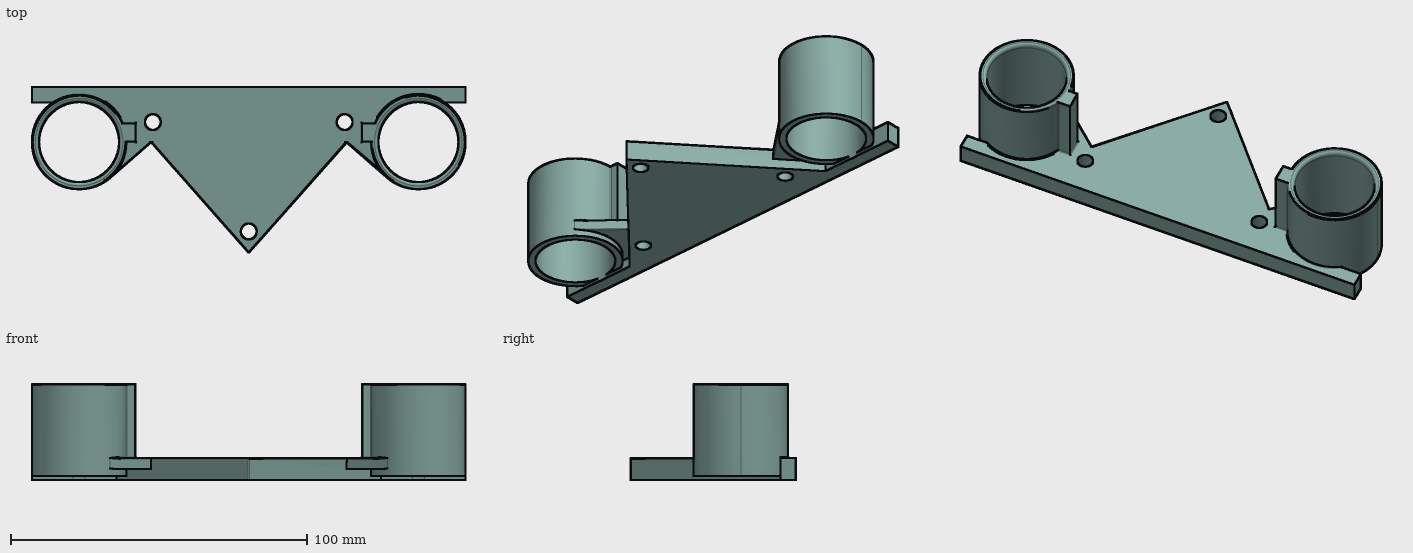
import cadquery as cq
import math

LENGTH = 146.5
DEPTH = 55.8
HEIGHT = 32.4

PLATE_THICKNESS = 7.5
BAR_WIDTH = 5.3

RING_RADIUS = 16.0
RING_BORE_RADIUS = 13.5
RING_BOTTOM = 1.3
RING_CENTER_Y = -18.6
MOUTH_ROUND = 1.3

TIP_HALF_ANGLE = 41.4
NOTCH_Y = -18.6
WEB_THICKNESS = 3.8

RIB_INNER_X = 38.2
RIB_BACK_Y = -12.3
RIB_FRONT_Y = -18.5

HOLE_DIAMETER = 5.3
BACK_HOLE_X = 32.4
BACK_HOLE_Y = -11.9
TIP_HOLE_Y = -48.8

EDGE_ROUND = 0.3

SELECTION_MARGIN = 0.07

RING_CENTER_X = LENGTH / 2 - RING_RADIUS
WEB_BOTTOM = PLATE_THICKNESS - WEB_THICKNESS
TIP_SLOPE = math.tan(math.radians(TIP_HALF_ANGLE))
APEX_Y = -DEPTH - EDGE_ROUND * (1 / math.sin(math.radians(TIP_HALF_ANGLE)) - 1)
PLATE_BACK_X = -APEX_Y * TIP_SLOPE
NOTCH_X = (NOTCH_Y - APEX_Y) * TIP_SLOPE


def both_sides(right_half):
    """Return a body together with its mirror image across X = 0."""
    return right_half.union(right_half.mirror("YZ"))


def cylinder(radius, bottom):
    """Upright cylinder on the right ring axis, from bottom to the full height."""
    return (
        cq.Workplane("XY", origin=(RING_CENTER_X, RING_CENTER_Y, bottom))
        .circle(radius)
        .extrude(HEIGHT - bottom)
    )


def back_bar():
    return (
        cq.Workplane("XY", origin=(0, -BAR_WIDTH / 2, 0))
        .rect(LENGTH, BAR_WIDTH)
        .extrude(PLATE_THICKNESS)
    )


def triangular_plate():
    corners = [(-PLATE_BACK_X, 0), (PLATE_BACK_X, 0), (0, APEX_Y)]
    plate = cq.Workplane("XY").polyline(corners).close().extrude(PLATE_THICKNESS)
    return plate.edges("|Z and <Y").fillet(EDGE_ROUND).faces(">Z").edges("not >Y").fillet(EDGE_ROUND)


def web():
    """Thin sheet joining plate, bar and ring; its front edge is tangent to the ring."""
    to_notch_x = NOTCH_X - RING_CENTER_X
    to_notch_y = NOTCH_Y - RING_CENTER_Y
    notch_distance = math.hypot(to_notch_x, to_notch_y)
    tangent_angle = math.atan2(to_notch_y, to_notch_x) + math.acos(RING_RADIUS / notch_distance)
    tangent_point = (
        RING_CENTER_X + RING_RADIUS * math.cos(tangent_angle),
        RING_CENTER_Y + RING_RADIUS * math.sin(tangent_angle),
    )
    corners = [
        (0, 0),
        (0, NOTCH_Y),
        (NOTCH_X, NOTCH_Y),
        tangent_point,
        (RING_CENTER_X, RING_CENTER_Y),
        (RING_CENTER_X, 0),
    ]
    sheet = cq.Workplane("XY", origin=(0, 0, WEB_BOTTOM)).polyline(corners).close().extrude(WEB_THICKNESS)
    front_edge_middle = ((NOTCH_X + tangent_point[0]) / 2, (NOTCH_Y + tangent_point[1]) / 2, WEB_BOTTOM)
    return sheet.edges(cq.selectors.NearestToPointSelector(front_edge_middle)).fillet(EDGE_ROUND)


def rib():
    """Upright rib on the inner side of the ring, standing on the plate."""
    return (
        cq.Workplane("XY", origin=(0, 0, WEB_BOTTOM))
        .moveTo(RIB_INNER_X, RIB_FRONT_Y)
        .rect(RING_CENTER_X - RIB_INNER_X, RIB_BACK_Y - RIB_FRONT_Y, centered=False)
        .extrude(HEIGHT - WEB_BOTTOM)
    )


def screw_holes():
    centers = [(-BACK_HOLE_X, BACK_HOLE_Y), (BACK_HOLE_X, BACK_HOLE_Y), (0, TIP_HOLE_Y)]
    return cq.Workplane("XY").pushPoints(centers).circle(HOLE_DIAMETER / 2).extrude(PLATE_THICKNESS)


def edges_between(body, side, inner_x, bottom, top):
    """Edges on one side (-1 or 1) centered between inner_x and the ring axis, and between two heights."""
    inner_corner = (side * (inner_x + SELECTION_MARGIN), -DEPTH, bottom - SELECTION_MARGIN)
    outer_corner = (side * RING_CENTER_X, 0, top + SELECTION_MARGIN)
    return body.edges(cq.selectors.BoxSelector(inner_corner, outer_corner))


def soften(body):
    """Round the outer ring rims, the feet of rings and ribs, the top edges of the webs and the rib joints."""
    edges = body.faces(">Z").edges("%CIRCLE").vals()
    for side in (-1, 1):
        edges += edges_between(body, side, NOTCH_X, PLATE_THICKNESS, PLATE_THICKNESS).vals()
        edges += edges_between(body, side, RIB_INNER_X, PLATE_THICKNESS, HEIGHT).edges("|Z").vals()
    return body.newObject(edges).fillet(EDGE_ROUND)


holder = cylinder(RING_RADIUS, RING_BOTTOM).union(web()).union(rib())
solid_body = soften(back_bar().union(triangular_plate()).union(both_sides(holder)))
bored_body = solid_body.cut(both_sides(cylinder(RING_BORE_RADIUS, 0))).cut(screw_holes())
bore_mouths = bored_body.faces(">Z").edges(cq.selectors.RadiusNthSelector(0))
result = bore_mouths.fillet(MOUTH_ROUND)